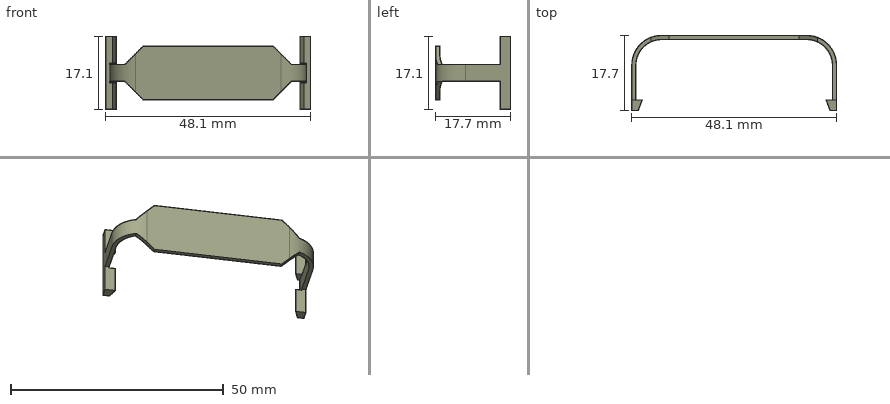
import cadquery as cq

LENGTH = 48.13
DEPTH = 17.65
POST_HEIGHT = 17.15

THICKNESS = 1.0
BEND_RADIUS = 7.0
PLATE_HEIGHT = 12.6
ARM_HEIGHT = 4.0
PLATE_END_INSET = 8.8

POST_DEPTH = 2.5
POST_BACK_WIDTH = 2.5
POST_FRONT_WIDTH = 1.55
NOTCH_HEIGHT = 4.5

HALF_LENGTH = LENGTH / 2
TAPER_LENGTH = (PLATE_HEIGHT - ARM_HEIGHT) / 2
PLATE_HALF_LENGTH = HALF_LENGTH - PLATE_END_INSET
TAPER_HALF_LENGTH = PLATE_HALF_LENGTH + TAPER_LENGTH


def bent_band():
    """U-shaped band with rounded back corners, as tall as the plate."""

    def rounded_block(length, depth, corner_radius):
        return (
            cq.Workplane("XY")
            .box(length, depth, PLATE_HEIGHT, centered=(True, False, True))
            .edges("|Z and >Y")
            .fillet(corner_radius)
        )

    outside = rounded_block(LENGTH, DEPTH, BEND_RADIUS)
    inside = rounded_block(LENGTH - 2 * THICKNESS, DEPTH - THICKNESS, BEND_RADIUS - THICKNESS)
    return outside.cut(inside)


def front_silhouette():
    """Prism with the plate, its tapers and the arms as its outline along Y."""
    half_plate = PLATE_HEIGHT / 2
    half_arm = ARM_HEIGHT / 2
    upper_right = [
        (PLATE_HALF_LENGTH, half_plate),
        (TAPER_HALF_LENGTH, half_arm),
        (HALF_LENGTH, half_arm),
    ]
    lower_right = [(x, -z) for x, z in reversed(upper_right)]
    right_side = upper_right + lower_right
    left_side = [(-x, z) for x, z in reversed(right_side)]
    return cq.Workplane("XZ").polyline(right_side + left_side).close().extrude(-DEPTH)


def left_post():
    """Upright post with a sloped inner face, notched level with the arm's inner face."""
    section = [
        (-HALF_LENGTH, 0),
        (-HALF_LENGTH + POST_FRONT_WIDTH, 0),
        (-HALF_LENGTH + POST_BACK_WIDTH, POST_DEPTH),
        (-HALF_LENGTH, POST_DEPTH),
    ]
    post = cq.Workplane("XY").polyline(section).close().extrude(POST_HEIGHT / 2, both=True)
    notch = (
        cq.Workplane("XY")
        .box(POST_BACK_WIDTH, POST_DEPTH, NOTCH_HEIGHT, centered=(False, False, True))
        .translate((-HALF_LENGTH + THICKNESS, 0, 0))
    )
    return post.cut(notch)


strip = bent_band().intersect(front_silhouette())
post = left_post()
result = strip.union(post).union(post.mirror("YZ"))